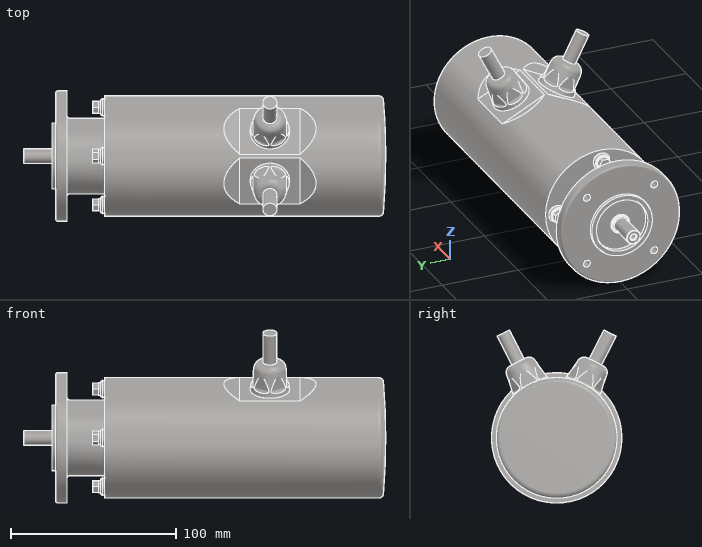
import cadquery as cq
import math


shaft_diameter = 9.0
shaft_tip_x = -19.3
shaft_tip_diameter = 8.5
shaft_hole_diameter = 3.43
shaft_countersink_diameter = 4.5
shaft_countersink_depth = 0.6
shaft_hole_depth = 10.0

flange_diameter = 79.0
flange_thickness = 7.0
flange_edge_fillet = 1.5
pilot_diameter = 40.0
pilot_height = 2.2
pilot_recess_diameter = 34.0
pilot_recess_depth = 3.2
collar_base_diameter = 12.0
collar_top_diameter = 10.8
collar_step_height = 0.9
flange_hole_diameter = 4.5
flange_hole_circle_diameter = 63.0
flange_hole_count = 4
flange_hole_first_angle = 45.0

hub_diameter = 46.0
hub_flange_fillet = 1.5
hub_housing_fillet = 0.6

housing_diameter = 73.0
housing_radius = housing_diameter / 2
housing_front_x = 29.6
dome_height = 1.6
dome_tip_x = 199.7
housing_end_fillet = 3.0

screw_circle_diameter = 59.0
screw_count = 4
screw_head_x = 22.4
screw_corner_diameter = 8.5
screw_flat_count = 6
screw_flat_length = 3.7
screw_collar_diameter = 7.65
washer_front_x = 27.2
washer_rim_x = 28.4
washer_face_diameter = 9.0
washer_rim_diameter = 10.8
washer_seat_diameter = 9.6

gland_x = 129.6
gland_tilt = 27.0
gland_sides = (-1, 1)
pocket_floor_distance = 33.0
pocket_floor_length = 36.5
pocket_end_slope = 20.0

gland_base_diameter = 24.0
gland_draft = 8.6
gland_top_distance = 51.6
gland_top_fillet = 4.5
gland_flat_width = 20.2
gland_flat_count = 6
gland_flat_bottom_distance = 37.6
gland_flat_fillet = 2.0
cable_diameter = 8.5
cable_end_distance = 71.1


def x_cylinder(diameter, start_x, end_x):
    """Cylinder on the motor axis between two X positions."""
    return cq.Workplane("YZ", origin=(start_x, 0, 0)).circle(diameter / 2).extrude(end_x - start_x)


def x_cone(start_diameter, end_diameter, start_x, end_x):
    """Truncated cone on the motor axis between two X positions."""
    return (
        cq.Workplane("XY")
        .moveTo(start_x, 0)
        .lineTo(start_x, start_diameter / 2)
        .lineTo(end_x, end_diameter / 2)
        .lineTo(end_x, 0)
        .close()
        .revolve(360, (0, 0, 0), (1, 0, 0))
    )


def ring_angles(count):
    return [i * 360 / count for i in range(count)]


def tilt_about_motor(shape, side):
    """Turn a shape standing on +Z to one side; side +1 leans it towards +Y."""
    return shape.rotate((0, 0, 0), (1, 0, 0), -side * gland_tilt)


def make_shaft():
    """Shaft with a countersunk, pointed centre hole in its tip."""
    shaft = x_cylinder(shaft_diameter, shaft_tip_x, flange_thickness)
    shaft = shaft.faces("<X").chamfer((shaft_diameter - shaft_tip_diameter) / 2)
    countersink_end_x = shaft_tip_x + shaft_countersink_depth
    hole_end_x = shaft_tip_x + shaft_hole_depth
    point_end_x = hole_end_x + shaft_hole_diameter / 2
    countersink = x_cone(shaft_countersink_diameter, shaft_hole_diameter, shaft_tip_x, countersink_end_x)
    hole = x_cylinder(shaft_hole_diameter, shaft_tip_x, hole_end_x)
    point = (
        cq.Workplane("XY")
        .moveTo(hole_end_x, 0)
        .lineTo(hole_end_x, shaft_hole_diameter / 2)
        .lineTo(point_end_x, 0)
        .close()
        .revolve(360, (0, 0, 0), (1, 0, 0))
    )
    return shaft.cut(countersink).cut(hole).cut(point)


def make_flange():
    flange = x_cylinder(flange_diameter, 0, flange_thickness)
    flange = flange.faces("<X").edges().fillet(flange_edge_fillet)
    flange = flange.union(x_cylinder(pilot_diameter, -pilot_height, 0))
    recess_floor_x = pilot_recess_depth - pilot_height
    flange = flange.cut(x_cylinder(pilot_recess_diameter, -pilot_height, recess_floor_x))
    collar_step_x = recess_floor_x - collar_step_height
    flange = flange.union(x_cylinder(collar_base_diameter, collar_step_x, recess_floor_x))
    collar_top_x = collar_step_x - collar_step_height
    flange = flange.union(x_cylinder(collar_top_diameter, collar_top_x, collar_step_x))
    holes = (
        cq.Workplane("YZ")
        .polarArray(flange_hole_circle_diameter / 2, flange_hole_first_angle, 360, flange_hole_count)
        .circle(flange_hole_diameter / 2)
        .extrude(flange_thickness)
    )
    return flange.cut(holes)


def make_hub():
    """Hub turned with a concave fillet at each end."""
    radius = hub_diameter / 2
    return (
        cq.Workplane("XY")
        .moveTo(flange_thickness, 0)
        .lineTo(flange_thickness, radius + hub_flange_fillet)
        .radiusArc((flange_thickness + hub_flange_fillet, radius), -hub_flange_fillet)
        .lineTo(housing_front_x - hub_housing_fillet, radius)
        .radiusArc((housing_front_x, radius + hub_housing_fillet), -hub_housing_fillet)
        .lineTo(housing_front_x, 0)
        .close()
        .revolve(360, (0, 0, 0), (1, 0, 0))
    )


def make_pocket():
    """Flat-floored pocket with sloping ends, cut across the top of the housing."""
    depth = housing_radius - pocket_floor_distance
    half_floor = pocket_floor_length / 2
    half_top = half_floor + depth / math.tan(math.radians(pocket_end_slope))
    return (
        cq.Workplane("XZ", origin=(gland_x, 0, 0))
        .moveTo(-half_floor, pocket_floor_distance)
        .lineTo(half_floor, pocket_floor_distance)
        .lineTo(half_top, housing_radius)
        .lineTo(-half_top, housing_radius)
        .close()
        .extrude(housing_radius, both=True)
    )


def make_housing():
    dome_radius = (housing_radius**2 + dome_height**2) / (2 * dome_height)
    dome_edge_x = dome_tip_x - dome_height
    housing = (
        cq.Workplane("XY")
        .moveTo(housing_front_x, 0)
        .lineTo(housing_front_x, housing_radius)
        .lineTo(dome_edge_x, housing_radius)
        .radiusArc((dome_tip_x, 0), dome_radius)
        .close()
        .revolve(360, (0, 0, 0), (1, 0, 0))
    )
    rear_edge_point = (dome_edge_x, 0, housing_radius)
    housing = housing.edges(cq.selectors.NearestToPointSelector(rear_edge_point))
    housing = housing.fillet(housing_end_fillet)
    for side in gland_sides:
        housing = housing.cut(tilt_about_motor(make_pocket(), side))
    return housing


def make_screw():
    """Hexagon screw head with its washer, on the motor axis with corners on Y."""
    head = (
        cq.Workplane("YZ", origin=(screw_head_x, 0, 0))
        .polygon(screw_flat_count, screw_corner_diameter)
        .extrude(screw_flat_length)
    )
    flats_end_x = screw_head_x + screw_flat_length
    collar = x_cylinder(screw_collar_diameter, flats_end_x, washer_front_x)
    washer_front = x_cone(washer_face_diameter, washer_rim_diameter, washer_front_x, washer_rim_x)
    washer_back = x_cone(washer_rim_diameter, washer_seat_diameter, washer_rim_x, housing_front_x)
    return head.union(collar).union(washer_front).union(washer_back)


def make_motor():
    motor = make_housing().union(make_hub()).union(make_flange()).union(make_shaft())
    screw = make_screw().translate((0, 0, screw_circle_diameter / 2))
    for angle in ring_angles(screw_count):
        motor = motor.union(screw.rotate((0, 0, 0), (1, 0, 0), angle))
    return motor


def make_flat_cutter():
    """Material outside one gland flat on +X, with a rounded lower end."""
    flat_x = gland_flat_width / 2
    outer_x = gland_base_diameter
    arc_end = gland_flat_bottom_distance - gland_flat_fillet
    return (
        cq.Workplane("XZ")
        .moveTo(flat_x, gland_top_distance)
        .lineTo(flat_x, gland_flat_bottom_distance)
        .radiusArc((flat_x + gland_flat_fillet, arc_end), -gland_flat_fillet)
        .lineTo(outer_x, arc_end)
        .lineTo(outer_x, gland_top_distance)
        .close()
        .extrude(gland_base_diameter, both=True)
    )


def make_gland():
    """Tapered gland with six flats and its cable, standing on +Z."""
    height = gland_top_distance - pocket_floor_distance
    gland = (
        cq.Workplane("XY", origin=(0, 0, pocket_floor_distance))
        .circle(gland_base_diameter / 2)
        .extrude(height, taper=gland_draft)
    )
    gland = gland.faces(">Z").edges().fillet(gland_top_fillet)
    cutter = make_flat_cutter()
    for angle in ring_angles(gland_flat_count):
        gland = gland.cut(cutter.rotate((0, 0, 0), (0, 0, 1), angle))
    cable = (
        cq.Workplane("XY", origin=(0, 0, pocket_floor_distance))
        .circle(cable_diameter / 2)
        .extrude(cable_end_distance - pocket_floor_distance)
    )
    return gland.union(cable).translate((gland_x, 0, 0))


motor = make_motor()
glands = [tilt_about_motor(make_gland(), side) for side in gland_sides]

result = cq.Compound.makeCompound([motor.val(), *[gland.val() for gland in glands]])